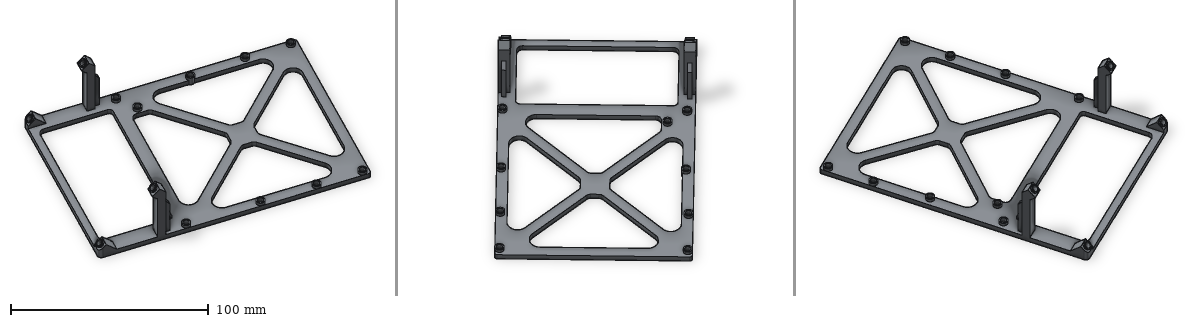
import cadquery as cq
import math

WIDTH = 100.0
LENGTH = 148.7
HEIGHT = 38.5
PLATE = 3.1
FRONT_CORNER_R = 2.2
BACK_CORNER_R = 1.3
HALF_WIDTH = WIDTH / 2

CROSS_Y = 98.9
CROSS_OFFSET = 4.0
HUB_REACH = 7.3
SIDE_HUB_REACH = 7.5
HUB_FILLET = 3.0
WINDOW_R = 5.4
BACK_WINDOW_Y = 143.1
SIDE_WINDOW_X = 44.0
FRONT_WINDOW_Y = 51.6
FRONT_WINDOW_LEFT = 32.9
FRONT_WINDOW_SMALL_R = 3.0

OPENING_WIDTH = 82.0
OPENING_FRONT = 4.2
OPENING_BACK = 44.3
OPENING_FRONT_R = 3.0
OPENING_BACK_R = 2.2

BOSS_D = 4.6
HOLE_D = 3.1
BOSS_TOP = 4.9
EDGE_BOSS_X = 47.6
INSET_BOSS_X = 45.8
BOSS_ROWS = (48.6, 89.2, 119.9, 144.9)
INNER_BOSS = (-36.0, 56.4)
BOSS_POINTS = [(EDGE_BOSS_X, y) for y in BOSS_ROWS]
BOSS_POINTS += [(-INSET_BOSS_X, y) for y in BOSS_ROWS[:2]]
BOSS_POINTS += [(-EDGE_BOSS_X, y) for y in BOSS_ROWS[2:]]
BOSS_POINTS += [INNER_BOSS]

BRACKET_WIDTH = 6.0
FACE_RISE = 4.9
POST_FRONT = 32.1
POST_BACK = 36.6
POST_BACK_Z = 34.7
POST_OVERHANG_Z = 31.1
RIB_WIDTH = 2.2
RIB_BACK = 39.5
RIB_BACK_Z = 22.8
RIB_TOP_Z = 26.5
FOOT_BACK = 9.8

RING_X = 46.5
RING_HEIGHT = 0.9
RING_HOLE_DEPTH = 3.5
TILT = math.radians(45)
RING_REACH = (RING_HEIGHT + BOSS_D / 2) * math.sin(TILT)
POST_RING_Y = HEIGHT - FACE_RISE - RING_REACH
FOOT_RING_Y = RING_REACH


def plate_blank():
    blank = cq.Workplane("XY").rect(WIDTH, LENGTH).extrude(PLATE).translate((0, LENGTH / 2, 0))
    blank = blank.edges("|Z and <Y").fillet(FRONT_CORNER_R)
    return blank.edges("|Z and >Y").fillet(BACK_CORNER_R)


def prism(points):
    return cq.Workplane("XY").polyline(points).close().extrude(PLATE)


def cross_window(direction, hub_reach, reach):
    """Blunt triangle pointing at the cross centre; direction is its angle from +Y."""
    tip = hub_reach - CROSS_OFFSET
    base = reach - CROSS_OFFSET
    window = prism([(-tip, hub_reach), (tip, hub_reach), (base, reach), (-base, reach)])
    window = window.edges("|Z and >Y").fillet(WINDOW_R)
    window = window.edges("|Z and <Y").fillet(HUB_FILLET)
    return window.rotate((0, 0, 0), (0, 0, 1), direction).translate((0, CROSS_Y, 0))


def front_window():
    """Window in front of the cross, cut short on the left to leave room for a boss."""
    reach = CROSS_Y - FRONT_WINDOW_Y
    tip = HUB_REACH - CROSS_OFFSET
    base = reach - CROSS_OFFSET
    left_start = FRONT_WINDOW_LEFT + CROSS_OFFSET
    window = prism([
        (-tip, -HUB_REACH), (tip, -HUB_REACH), (base, -reach),
        (-FRONT_WINDOW_LEFT, -reach), (-FRONT_WINDOW_LEFT, -left_start),
    ])
    window = window.edges("|Z and >X").fillet(WINDOW_R)
    window = window.edges("|Z and <X").fillet(FRONT_WINDOW_SMALL_R)
    window = window.edges("|Z and >Y").fillet(HUB_FILLET)
    return window.translate((0, CROSS_Y, 0))


def front_opening():
    depth = OPENING_BACK - OPENING_FRONT
    opening = cq.Workplane("XY").rect(OPENING_WIDTH, depth).extrude(PLATE)
    opening = opening.edges("|Z and <Y").fillet(OPENING_FRONT_R)
    opening = opening.edges("|Z and >Y").fillet(OPENING_BACK_R)
    return opening.translate((0, OPENING_FRONT + depth / 2, 0))


def side_profile(points, width, center_x):
    """Extrude a (Y, Z) outline along X, centred on center_x."""
    return (
        cq.Workplane("YZ").polyline(points).close()
        .extrude(width / 2, both=True).translate((center_x, 0, 0))
    )


def post_and_foot(side):
    """Post with rib, and foot, on one side (side is -1 or +1)."""
    center_x = side * (HALF_WIDTH - BRACKET_WIDTH / 2)
    peak_y = (POST_BACK + POST_BACK_Z - FACE_RISE) / 2
    lip_y = (POST_FRONT + POST_OVERHANG_Z - FACE_RISE) / 2
    post = side_profile([
        (POST_FRONT, 0), (POST_BACK, 0), (POST_BACK, POST_BACK_Z),
        (peak_y, peak_y + FACE_RISE), (lip_y, lip_y + FACE_RISE), (POST_FRONT, POST_OVERHANG_Z),
    ], BRACKET_WIDTH, center_x)
    rib = side_profile([
        (POST_BACK, 0), (RIB_BACK, 0), (RIB_BACK, RIB_BACK_Z), (POST_BACK, RIB_TOP_Z),
    ], RIB_WIDTH, center_x)
    foot_peak_y = (FOOT_BACK + PLATE - FACE_RISE) / 2
    foot = side_profile([
        (0, 0), (FOOT_BACK, 0), (FOOT_BACK, PLATE),
        (foot_peak_y, foot_peak_y + FACE_RISE), (0, FACE_RISE),
    ], BRACKET_WIDTH, center_x)
    corner = ">X" if side > 0 else "<X"
    foot = foot.edges("|Z and <Y").edges(corner).fillet(FRONT_CORNER_R)
    return post.union(rib).union(foot)


def head_plane(x, y):
    """Plane on the tilted bracket face with its normal pointing forward and up."""
    return cq.Plane(origin=(x, y, y + FACE_RISE), xDir=(1, 0, 0), normal=(0, -1, 1))


def head_ring(side, y):
    """Ring standing on a bracket head, and the blind bore that runs down its axis."""
    face = cq.Workplane(head_plane(side * RING_X, y))
    ring = face.circle(BOSS_D / 2).extrude(RING_HEIGHT)
    bore = face.workplane(offset=RING_HEIGHT).circle(HOLE_D / 2).extrude(-RING_HOLE_DEPTH)
    return ring, bore


plate = plate_blank().cut(front_opening()).cut(front_window())
plate = plate.cut(cross_window(0, HUB_REACH, BACK_WINDOW_Y - CROSS_Y))
for turn in (-90, 90):
    plate = plate.cut(cross_window(turn, SIDE_HUB_REACH, SIDE_WINDOW_X))

bosses = cq.Workplane("XY").pushPoints(BOSS_POINTS).circle(BOSS_D / 2).extrude(BOSS_TOP)
boss_holes = cq.Workplane("XY").pushPoints(BOSS_POINTS).circle(HOLE_D / 2).extrude(BOSS_TOP)
result = plate.union(bosses).cut(boss_holes)

for side in (-1, 1):
    result = result.union(post_and_foot(side))
    for ring_y in (POST_RING_Y, FOOT_RING_Y):
        ring, bore = head_ring(side, ring_y)
        result = result.union(ring).cut(bore)